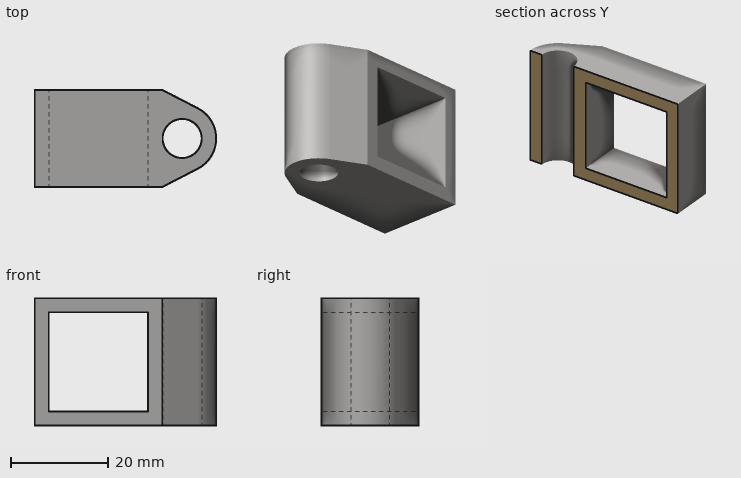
import cadquery as cq
import math

length = 37.3
width = 20.0
height = 26.2

body_length = height
window_size = 20.33
wall = (height - window_size) / 2

eye_radius = 7.0
hole_diameter = 8.0
eye_x = length - eye_radius

corner_dx = body_length - eye_x
corner_dy = width / 2
corner_distance = math.hypot(corner_dx, corner_dy)
tangent_angle = math.atan2(corner_dy, corner_dx) - math.acos(eye_radius / corner_distance)
tangent_x = eye_x + eye_radius * math.cos(tangent_angle)
tangent_y = eye_radius * math.sin(tangent_angle)


def make_body():
    """Solid block tapering to the rounded eye, symmetric about Y = 0."""
    return (
        cq.Workplane("XY")
        .moveTo(0, -width / 2)
        .lineTo(body_length, -width / 2)
        .lineTo(tangent_x, -tangent_y)
        .threePointArc((length, 0), (tangent_x, tangent_y))
        .lineTo(body_length, width / 2)
        .lineTo(0, width / 2)
        .close()
        .extrude(height)
    )


def make_window():
    """Square opening running through the body along Y."""
    return cq.Workplane("XY").box(window_size, width, window_size).translate(
        (wall + window_size / 2, 0, height / 2)
    )


def make_pin_hole():
    """Vertical hole through the eye, concentric with its round end."""
    return cq.Workplane("XY").center(eye_x, 0).circle(hole_diameter / 2).extrude(height)


result = make_body().cut(make_window()).cut(make_pin_hole())